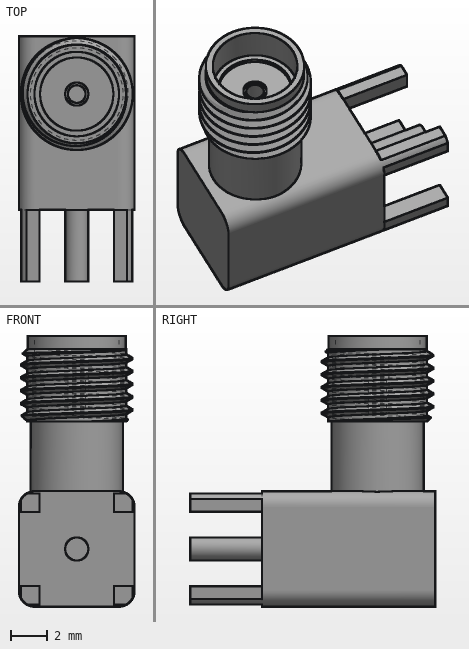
import cadquery as cq
import math


body_side = 6.35
body_length = 9.525
corner_radius = 0.889
body_back = body_side / 2
body_front = body_back - body_length
body_top = body_side / 2

leg_side = 1.016
leg_spacing = 5.08
leg_length = 3.937
pin_diameter = 1.27

overall_height = 14.86
neck_diameter = 5.08
neck_length = 3.81
rim_diameter = 5.4
thread_length = 3.99
barrel_top = overall_height - body_side / 2
thread_bottom = body_top + neck_length
thread_top = thread_bottom + thread_length

thread_pitch = 25.4 / 36
root_diameter = 5.44
crest_diameter = 6.14
crest_width = 0.05
half_flank_angle = math.radians(30)
ridge_embed = 0.1
blank_clearance = 0.1
crest_below_top = 2.648

bore_diameter = 4.64
bore_depth = 1.94
insulator_diameter = 4.02
insulator_recess = 0.2
contact_diameter = 1.27
contact_recess = 0.1
contact_hole_diameter = 0.97
contact_hole_depth = 2.0


def cylinder(diameter, bottom, top):
    return cq.Workplane("XY").workplane(offset=bottom).circle(diameter / 2).extrude(top - bottom)


def rounded_bar(y_front, y_back):
    """Square bar along Y with rounded long edges."""
    bar = cq.Workplane("XZ", origin=(0, y_back, 0)).rect(body_side, body_side).extrude(y_back - y_front)
    return bar.edges("|Y").fillet(corner_radius)


def make_legs():
    """Four legs whose outer corners follow the rounded edges of the body."""
    front_face = cq.Workplane("XZ", origin=(0, body_front, 0))
    legs = front_face.rarray(leg_spacing, leg_spacing, 2, 2).rect(leg_side, leg_side).extrude(leg_length)
    return legs.intersect(rounded_bar(body_front - leg_length, body_front))


def make_pin():
    return cq.Workplane("XZ", origin=(0, body_front, 0)).circle(pin_diameter / 2).extrude(leg_length)


def make_thread_blank():
    """Cylinder clear of the crests, with a 45 degree cone at each end starting at the rim diameter."""
    blank_diameter = crest_diameter + 2 * blank_clearance
    chamfer = (blank_diameter - rim_diameter) / 2
    blank = cylinder(blank_diameter, thread_bottom, thread_top)
    return blank.faces("<Z or >Z").chamfer(chamfer)


def make_thread():
    """Root cylinder with a helical ridge, trimmed at both ends by the thread blank."""
    root_radius = root_diameter / 2
    crest_radius = crest_diameter / 2
    inner_radius = root_radius - ridge_embed
    half_crest = crest_width / 2
    half_base = half_crest + (crest_radius - inner_radius) * math.tan(half_flank_angle)

    crest_height = barrel_top - crest_below_top
    turns_below = math.ceil((crest_height - thread_bottom) / thread_pitch) + 1
    start = crest_height - turns_below * thread_pitch
    turns = math.ceil((thread_top - start) / thread_pitch) + 1

    helix = cq.Wire.makeHelix(thread_pitch, turns * thread_pitch, root_radius, cq.Vector(0, 0, start))
    ridge = (
        cq.Workplane("XZ")
        .moveTo(inner_radius, start - half_base)
        .lineTo(crest_radius, start - half_crest)
        .lineTo(crest_radius, start + half_crest)
        .lineTo(inner_radius, start + half_base)
        .close()
        .sweep(cq.Workplane(obj=helix), isFrenet=True)
    )

    core = cylinder(root_diameter, start - thread_pitch, start + (turns + 1) * thread_pitch)
    return core.union(ridge).intersect(make_thread_blank())


def make_barrel():
    body_middle = 0
    neck = cylinder(neck_diameter, body_middle, thread_bottom)
    rim = cylinder(rim_diameter, thread_bottom, barrel_top)
    return neck.union(rim).union(make_thread())


def make_socket():
    """Stepped cavity: bore, recessed insulator, recessed contact and contact hole."""
    bore_floor = barrel_top - bore_depth
    insulator_face = bore_floor - insulator_recess
    contact_face = insulator_face - contact_recess
    hole_bottom = contact_face - contact_hole_depth
    socket = cylinder(bore_diameter, bore_floor, barrel_top)
    socket = socket.union(cylinder(insulator_diameter, insulator_face, bore_floor))
    socket = socket.union(cylinder(contact_diameter, contact_face, insulator_face))
    return socket.union(cylinder(contact_hole_diameter, hole_bottom, contact_face))


body = rounded_bar(body_front, body_back).union(make_legs()).union(make_pin())
result = body.union(make_barrel()).cut(make_socket())